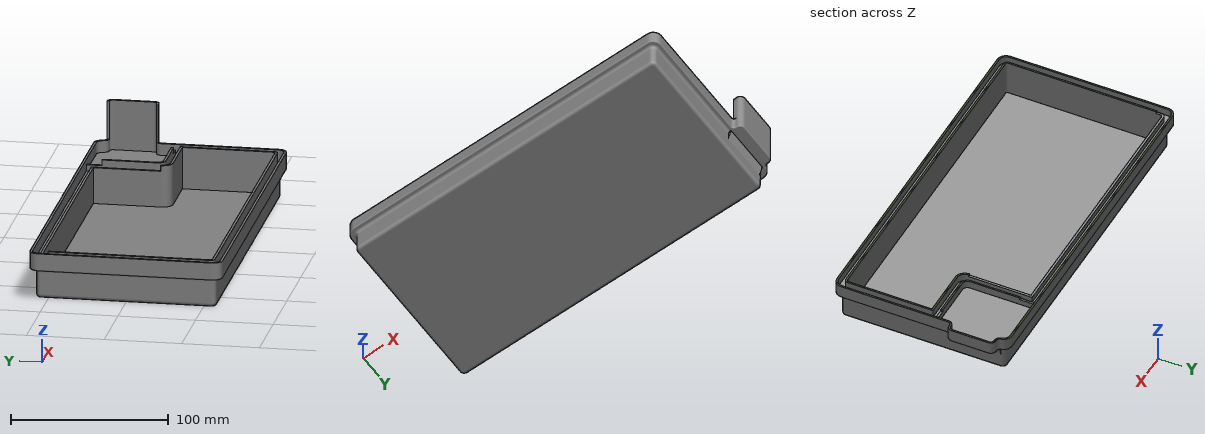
import cadquery as cq

total_length = 250.0
tray_width = 124.0
total_height = 55.8

floor_height = 3.0
flange_bottom = 19.0
shelf_height = 22.8
low_lip_height = 26.8
rim_height = 30.5

wall = 1.6
groove_width = 3.8
body_inset = 4.0
lip_inset = wall + groove_width
pocket_inset = lip_inset + wall

spout_reach = 6.5
spout_start = 83.5
spout_end = 117.0
spout_radius = 3.8
neck_radius = 2.2
tray_length = total_length - spout_reach

platform_x = 203.2
platform_y = 73.8
platform_radius = 3.5
curb_gap_x = 235.0
pocket_notch_x = platform_x - pocket_inset
pocket_notch_y = platform_y - pocket_inset

low_start_y = 112.5

flange_radius = 6.2
body_radius = 3.2
pocket_radius = 1.2
pocket_notch_radius = platform_radius + 2 * wall
bottom_fillet = 2.2
flange_edge_fillet = 0.8
underside_fillet = 2.0

support_reach = 2.2
support_height = 7.5


def box(x_range, y_range, z_range):
    """Box given by its limits along each axis."""
    size = [high - low for low, high in (x_range, y_range, z_range)]
    corner = (x_range[0], y_range[0], z_range[0])
    return cq.Workplane("XY").box(*size, centered=False).translate(corner)


def offset_prism(outline, distance, z_low, z_high, kind="arc"):
    """Prism on the bottom outline of a solid, moved outwards by the distance."""
    wire = outline.faces("<Z").wires().toPending()
    flat = wire.offset2D(distance, kind) if distance else wire
    prism = flat.extrude(z_high - z_low, combine=False)
    return prism.translate((0, 0, z_low - outline.val().BoundingBox().zmin))


def make_rim_outline():
    """Rounded tray rectangle joined to the spout, as a prism standing on Z = 0."""
    tray = box((0, tray_length), (0, tray_width), (0, 2.5)).edges("|Z").fillet(flange_radius)
    spout = box((platform_x, total_length), (spout_start, spout_end), (0, 2.5))
    spout = spout.edges("|Z and >X").fillet(spout_radius)
    joined = tray.union(spout)
    grown = offset_prism(joined, neck_radius, 0, 2.5)
    return offset_prism(grown, -neck_radius, 0, 2.5)


def make_tray_block(rim_outline):
    """Solid body carrying the wider flange, with all outer edges rounded."""
    body = box(
        (body_inset, tray_length - body_inset),
        (body_inset, tray_width - body_inset),
        (0, flange_bottom),
    )
    body = body.edges("|Z").fillet(body_radius).faces("<Z").edges().fillet(bottom_fillet)
    flange = offset_prism(rim_outline, 0, flange_bottom, shelf_height)
    flange = flange.faces("<Z").edges().fillet(flange_edge_fillet)
    block = body.union(flange)
    margin = body_inset / 2
    joint = cq.selectors.BoxSelector(
        (margin, margin, flange_bottom - margin),
        (tray_length - margin, tray_width - margin, flange_bottom + margin),
        boundingbox=True,
    )
    return block.edges(joint).fillet(underside_fillet)


def make_rim(rim_outline):
    """Outer wall above the shelf; round the spout it rises as the splash plate."""
    outside = offset_prism(rim_outline, 0, shelf_height, total_height)
    inside = offset_prism(rim_outline, -wall, shelf_height, total_height)
    plate = box((tray_length, total_length), (spout_start, spout_end), (rim_height, total_height))
    plate_relief = box(
        (tray_length, tray_length + neck_radius),
        (spout_end - spout_radius, spout_end),
        (rim_height, total_height),
    )
    low_part = box((0, total_length), (0, tray_width), (shelf_height, rim_height))
    return outside.cut(inside).intersect(low_part.union(plate.cut(plate_relief)))


def make_pocket():
    """L-shaped water pocket, stepping round the platform."""
    left, right = pocket_inset, tray_length - pocket_inset
    front, back = pocket_inset, tray_width - pocket_inset
    outline = [
        (left, front),
        (right, front),
        (right, pocket_notch_y),
        (pocket_notch_x, pocket_notch_y),
        (pocket_notch_x, back),
        (left, back),
    ]
    pocket = cq.Workplane("XY").workplane(offset=floor_height).polyline(outline).close()
    pocket = pocket.extrude(rim_height - floor_height)
    pocket = pocket.edges("|Z and (<X or <Y)").fillet(pocket_radius)
    notch = cq.selectors.NearestToPointSelector((pocket_notch_x, pocket_notch_y, shelf_height))
    return pocket.edges("|Z").edges(notch).fillet(pocket_notch_radius)


def make_lip(pocket):
    """Lip round the pocket, lowered along the back and beside the platform."""
    lip = offset_prism(pocket, wall, shelf_height, rim_height, "intersection")
    low_back = box((0, tray_length), (low_start_y, tray_width), (low_lip_height, rim_height))
    low_side = box(
        (pocket_notch_x - wall, tray_length),
        (platform_y, tray_width),
        (low_lip_height, rim_height),
    )
    return lip.cut(low_back).cut(low_side)


def make_curb():
    """Curb round the platform, lowered at both ends."""
    x_end, y_end = tray_length - wall, tray_width - wall
    inside = box((platform_x, x_end), (platform_y, y_end), (shelf_height, rim_height))
    outside = box((platform_x - wall, x_end), (platform_y - wall, y_end), (shelf_height, rim_height))
    inside = inside.edges("|Z and <X and <Y").fillet(platform_radius)
    outside = outside.edges("|Z and <X and <Y").fillet(platform_radius + wall)
    low_back = box((0, x_end), (low_start_y, y_end), (low_lip_height, rim_height))
    low_side = box((curb_gap_x, x_end), (0, y_end), (low_lip_height, rim_height))
    return outside.cut(inside).cut(low_back).cut(low_side)


def make_spout_support():
    """Wedge between the +X face of the body and the underside of the spout."""
    face_x = tray_length - body_inset
    profile = [
        (face_x - wall, flange_bottom),
        (face_x + support_reach, flange_bottom),
        (face_x, flange_bottom - support_height),
        (face_x - wall, flange_bottom - support_height),
    ]
    wedge = cq.Workplane("XZ", origin=(0, spout_end, 0)).polyline(profile).close()
    return wedge.extrude(spout_end - spout_start)


rim_outline = make_rim_outline()
pocket = make_pocket()
result = (
    make_tray_block(rim_outline)
    .union(make_rim(rim_outline))
    .union(make_spout_support())
    .union(make_curb())
    .union(make_lip(pocket))
    .cut(pocket)
)